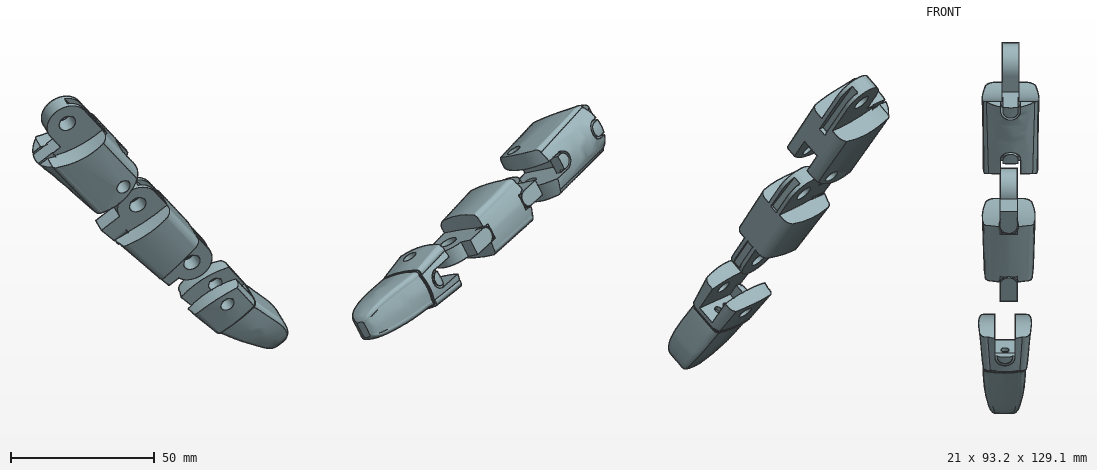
import cadquery as cq
import math

TILT = 33.0

ROOT_HEAD_Z = 96.0
ROOT_FORK_Z = 62.0
MIDDLE_HEAD_Z = 45.0
MIDDLE_FOOT_Z = 8.1
KNUCKLE_FORK_Z = -13.7

ROOT_PLACE = (0.6, 1.7)
MIDDLE_PLACE = (0.0, 0.0)
KNUCKLE_PLACE = (-1.3, -0.4)
TIP_PLACE = (-1.5, -0.4)

HEAD_RADIUS = 7.5
BACK = HEAD_RADIUS
TONGUE_HOLE = 6.0
FORK_HOLE = 5.0
TONGUE_WIDTH = 5.9
FORK_SLOT = 7.0
FORK_FLOOR = 8.1

GROOVE_WIDTH = FORK_SLOT
NARROW_TAB = 5.3
WEB = 1.9

CORD_SLOT = 3.0
CORD_HOLE = 2.7

BACK_CORNER_BULGE = 0.07
PALM_CORNER_BULGE = 0.12

FAR = 77.4


def section(z, back, flat, shoulder, belly, heel, edge, crest):
    """Outline of a link at height z: flat back, bulging sides and a convex palm.

    back and crest are the Y of the back and of the crest of the palm, flat is the half width
    of the back. The others are (X, Y) points on the right: shoulder ends the back corner,
    belly is the widest point, and the palm corner runs from heel to edge.
    """
    corner_bulge = BACK_CORNER_BULGE * (shoulder[0] - flat + back - shoulder[1])
    palm_bulge = PALM_CORNER_BULGE * (heel[0] - edge[0] + heel[1] - edge[1])
    back_corner = ((flat + shoulder[0]) / 2 + corner_bulge, (back + shoulder[1]) / 2 + corner_bulge)
    palm_corner = ((heel[0] + edge[0]) / 2 + palm_bulge, (heel[1] + edge[1]) / 2 - palm_bulge)

    def mirrored(point):
        return (-point[0], point[1])

    return (
        cq.Workplane("XY", origin=(0, 0, z))
        .moveTo(-flat, back)
        .lineTo(flat, back)
        .threePointArc(back_corner, shoulder)
        .threePointArc(belly, heel)
        .threePointArc(palm_corner, edge)
        .threePointArc((0, crest), mirrored(edge))
        .threePointArc(mirrored(palm_corner), mirrored(heel))
        .threePointArc(mirrored(belly), mirrored(shoulder))
        .threePointArc(mirrored(back_corner), (-flat, back))
        .close()
        .val()
    )


def loft(sections, ruled=True):
    return cq.Workplane(cq.Solid.makeLoft(sections, ruled))


def side_outline(y, z):
    """Start an outline in the YZ plane."""
    return cq.Workplane("YZ").moveTo(y, z)


def across(outline, width):
    """Extrude a closed YZ outline to a full width centred on the link."""
    return outline.extrude(width / 2, both=True)


def cross_hole(z, diameter):
    return across(cq.Workplane("YZ").center(0, z).circle(diameter / 2), FAR)


def palm_slab(width, end_z, round_z, start_y):
    """Slab from start_y out through the palm, square at end_z, half round about round_z."""
    radius = width / 2
    tip_z = round_z + math.copysign(radius, round_z - end_z)
    return (
        cq.Workplane("XZ", origin=(0, start_y, 0))
        .moveTo(-radius, end_z)
        .lineTo(-radius, round_z)
        .threePointArc((0, tip_z), (radius, round_z))
        .lineTo(radius, end_z)
        .close()
        .extrude(FAR)
    )


def tab_groove(tab_width, end_z, round_z, start_y):
    """U-shaped groove that leaves a round-ended tab standing in the middle."""
    outer = palm_slab(GROOVE_WIDTH, end_z, round_z, start_y)
    return outer.cut(palm_slab(tab_width, end_z, round_z, start_y))


def fork_slot(floor_z, tab_z, open_z, tab_y):
    """Slot between the cheeks of a fork, stepped on the palm side to leave a stop tab."""
    outline = (
        side_outline(FAR, open_z)
        .lineTo(FAR, floor_z)
        .lineTo(tab_y, floor_z)
        .lineTo(tab_y, tab_z)
        .lineTo(-FAR, tab_z)
        .lineTo(-FAR, open_z)
        .close()
    )
    return across(outline, FORK_SLOT)


def make_root():
    ledge_z = 89.2
    groove_y = -11.0
    fork_tab_z = 64.4
    tongue_root_z = 77.4
    tab_round_z, fork_tab_round_z = 87.2, 65.9
    palm_end_z = 59.9
    slot_start_z, slot_end_z = 79.5, 102.2
    low_z, high_z = 51.6, 92.9

    envelope = loft(
        [
            section(low_z, BACK, 5.2, (8.4, 5.3), (9.4, -2.6), (9.2, -11.4), (7.5, -13.4), -13.9),
            section(high_z, BACK, 5.7, (8.9, 5.3), (9.9, -2.6), (9.5, -11.9), (8.5, -13.5), -17.8),
        ]
    )
    shell_side = (
        side_outline(BACK, 83.6)
        .threePointArc((-4.4, 84.9), (-13.4, ledge_z))
        .lineTo(-FAR, ledge_z)
        .lineTo(-FAR, palm_end_z)
        .lineTo(-14.6, palm_end_z)
        .threePointArc((-4.9, 57.3), (BACK, 61.9))
        .close()
    )
    shell = envelope.intersect(across(shell_side, FAR))

    tongue_side = (
        side_outline(BACK, tongue_root_z)
        .lineTo(BACK, ROOT_HEAD_Z)
        .threePointArc((0, ROOT_HEAD_Z + HEAD_RADIUS), (-HEAD_RADIUS, ROOT_HEAD_Z))
        .lineTo(-HEAD_RADIUS, ledge_z)
        .lineTo(-14.2, ledge_z)
        .lineTo(-14.2, tongue_root_z)
        .close()
    )
    cord_slot_side = (
        side_outline(BACK, slot_start_z)
        .lineTo(5.5, slot_start_z)
        .lineTo(4.5, slot_end_z)
        .lineTo(BACK, slot_end_z)
        .close()
    )
    return (
        shell.union(across(tongue_side, TONGUE_WIDTH))
        .cut(tab_groove(NARROW_TAB, ledge_z, tab_round_z, groove_y))
        .cut(fork_slot(ROOT_FORK_Z + FORK_FLOOR, fork_tab_z, low_z, groove_y))
        .cut(tab_groove(NARROW_TAB, fork_tab_z, fork_tab_round_z, groove_y - WEB))
        .cut(across(cord_slot_side, CORD_SLOT))
        .cut(cross_hole(ROOT_HEAD_Z, TONGUE_HOLE))
        .cut(cross_hole(ROOT_FORK_Z, FORK_HOLE))
    )


def make_middle():
    ledge_z, ledge_y = 45.9, -15.5
    toe_z, toe_y = 6.0, -11.5
    groove_y = -9.0
    low_z, high_z = 10.3, 43.9
    shoulder_z, lower_shoulder_z = 36.5, 16.8
    shoulder_edge_z, lower_edge_z = 39.0, 14.5
    slot_floor_y = 6.6
    slot_start_z, slot_end_z = 36.1, 51.1
    head_tab_round_z, foot_tab_round_z = 39.2, 13.5
    head_neck_y = -math.sqrt(HEAD_RADIUS**2 - (ledge_z - MIDDLE_HEAD_Z) ** 2)
    foot_neck_y = -math.sqrt(HEAD_RADIUS**2 - (MIDDLE_FOOT_Z - toe_z) ** 2)
    palm_slope = (toe_y - ledge_y) / (ledge_z - toe_z)
    head_tab_z, foot_tab_z = 35.9, 16.9
    head_tab_y = ledge_y + palm_slope * (ledge_z - head_tab_z)
    foot_tab_y = ledge_y + palm_slope * (ledge_z - foot_tab_z)

    envelope = loft(
        [
            section(low_z, BACK, 5.2, (7.6, 5.0), (8.4, -1.3), (8.1, -9.0), (5.9, -11.4), -11.9),
            section(high_z, BACK, 5.2, (8.3, 5.0), (9.3, -1.3), (8.9, -11.5), (6.8, -13.7), -15.2),
        ]
    )
    shell_side = (
        side_outline(BACK, shoulder_z)
        .threePointArc((-2.6, 36.8), (-14.2, shoulder_edge_z))
        .lineTo(-FAR, shoulder_edge_z)
        .lineTo(-FAR, lower_edge_z)
        .lineTo(-12.4, lower_edge_z)
        .threePointArc((-2.6, 16.3), (BACK, lower_shoulder_z))
        .close()
    )
    shell = envelope.intersect(across(shell_side, FAR))

    tongue_side = (
        side_outline(BACK, MIDDLE_FOOT_Z)
        .lineTo(BACK, MIDDLE_HEAD_Z)
        .threePointArc((0, MIDDLE_HEAD_Z + HEAD_RADIUS), (head_neck_y, ledge_z))
        .lineTo(ledge_y, ledge_z)
        .lineTo(head_tab_y, head_tab_z)
        .lineTo(groove_y, head_tab_z)
        .lineTo(groove_y, foot_tab_z)
        .lineTo(foot_tab_y, foot_tab_z)
        .lineTo(toe_y, toe_z)
        .lineTo(foot_neck_y, toe_z)
        .threePointArc((0, MIDDLE_FOOT_Z - HEAD_RADIUS), (BACK, MIDDLE_FOOT_Z))
        .close()
    )
    head_cord_slot_side = (
        side_outline(BACK, slot_start_z)
        .lineTo(slot_floor_y, slot_start_z)
        .lineTo(4.5, slot_end_z)
        .lineTo(BACK, slot_end_z)
        .close()
    )
    foot_cord_slot_side = (
        side_outline(BACK, lower_shoulder_z)
        .lineTo(slot_floor_y, lower_shoulder_z)
        .lineTo(slot_floor_y, 0)
        .lineTo(BACK, 0)
        .close()
    )
    return (
        shell.union(across(tongue_side, TONGUE_WIDTH))
        .cut(tab_groove(TONGUE_WIDTH, ledge_z, head_tab_round_z, groove_y))
        .cut(tab_groove(TONGUE_WIDTH, toe_z, foot_tab_round_z, groove_y))
        .cut(across(head_cord_slot_side, CORD_SLOT))
        .cut(across(foot_cord_slot_side, CORD_SLOT))
        .cut(cross_hole(MIDDLE_HEAD_Z, TONGUE_HOLE))
        .cut(cross_hole(MIDDLE_FOOT_Z, TONGUE_HOLE))
    )


KNUCKLE_END_Z = -23.4
TIP_START_Z = -24.1
NECK_INSET = 0.5


def knuckle_end_section():
    return section(KNUCKLE_END_Z, BACK, 3.6, (7.1, 6.2), (7.9, 0.0), (7.5, -9.0), (5.2, -9.8), -10.6)


def make_knuckle():
    tab_z, tab_y = -16.8, -8.8
    tab_round_z = -17.3
    palm_start_z = -8.8
    cord_hole_centres = [(0, 0.9), (0, -3.5)]
    open_z = -5.2

    envelope = loft(
        [
            knuckle_end_section(),
            section(open_z, BACK, 5.4, (8.6, 6.5), (9.4, 0.0), (9.0, -9.5), (6.2, -11.6), -12.8),
        ]
    )
    shell_side = (
        side_outline(BACK, -11.2)
        .threePointArc((-2.8, -8.1), (-12.4, palm_start_z))
        .lineTo(-FAR, palm_start_z)
        .lineTo(-FAR, KNUCKLE_END_Z)
        .lineTo(BACK, KNUCKLE_END_Z)
        .close()
    )
    floor_z = KNUCKLE_FORK_Z - FORK_FLOOR
    cord_holes = (
        cq.Workplane("XY", origin=(0, 0, KNUCKLE_END_Z))
        .pushPoints(cord_hole_centres)
        .circle(CORD_HOLE / 2)
        .extrude(floor_z - KNUCKLE_END_Z)
    )
    return (
        envelope.intersect(across(shell_side, FAR))
        .cut(fork_slot(floor_z, tab_z, open_z, tab_y))
        .cut(tab_groove(NARROW_TAB, tab_z, tab_round_z, tab_y - WEB))
        .cut(cord_holes)
        .cut(cross_hole(KNUCKLE_FORK_Z, FORK_HOLE))
    )


def tip_section(z, back, palm, half_width):
    """Rounded outline of the tip, in fixed proportion to its depth and half width."""
    depth = back - palm
    return section(
        z,
        back,
        0.68 * half_width,
        (0.92 * half_width, back - 0.08 * depth),
        (half_width, back - 0.42 * depth),
        (0.92 * half_width, back - 0.88 * depth),
        (0.66 * half_width, back - 0.96 * depth),
        palm,
    )


def make_tip():
    stations = [
        (TIP_START_Z, 7.2, -10.5, 7.5),
        (-31.0, 8.4, -7.7, 7.4),
        (-37.4, 9.3, -5.0, 7.0),
        (-42.6, 9.2, -2.8, 6.2),
        (-46.5, 7.6, -0.9, 5.0),
        (-48.6, 4.8, 1.7, 3.1),
    ]
    body = loft([tip_section(*station) for station in stations], ruled=False)
    neck = cq.Workplane(knuckle_end_section()).toPending().offset2D(-NECK_INSET)
    return body.union(neck.extrude(TIP_START_Z - KNUCKLE_END_Z))


def place(body, position):
    x, y = position
    return body.translate((x, y, 0)).rotate((0, 0, 0), (1, 0, 0), TILT).solids().val()


root = place(make_root(), ROOT_PLACE)
middle = place(make_middle(), MIDDLE_PLACE)
knuckle = place(make_knuckle(), KNUCKLE_PLACE)
tip = place(make_tip(), TIP_PLACE)

result = cq.Compound.makeCompound([root, middle, knuckle, tip])